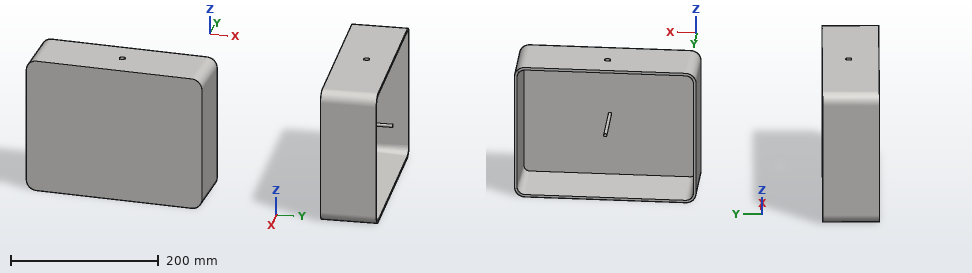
import cadquery as cq

width = 247.1
depth = 76.9
height = 191.8
corner_radius = 14.5

rim_wall = 3.7
front_wall = 5
draft_angle = 2.5

peg_diameter = 4.5

hole_diameter = 8.2
hole_offset_y = 2.7

front_y = -depth / 2
back_y = depth / 2
top_z = height / 2


def rounded_block(plane_y, block_width, block_height, radius, length, taper=0):
    """Rounded rectangle at plane_y, extruded toward -Y."""
    outline = cq.Sketch().rect(block_width, block_height).vertices().fillet(radius)
    return cq.Workplane("XZ", origin=(0, plane_y, 0)).placeSketch(outline).extrude(length, taper=taper)


housing = rounded_block(back_y, width, height, corner_radius, depth)

cavity_depth = depth - front_wall
cavity = rounded_block(
    back_y,
    width - 2 * rim_wall,
    height - 2 * rim_wall,
    corner_radius - rim_wall,
    cavity_depth,
    taper=draft_angle,
)

peg = cq.Workplane("ZX", origin=(0, front_y, 0)).circle(peg_diameter / 2).extrude(depth)

hole_depth = top_z / 2
hole = (
    cq.Workplane("YX", origin=(0, hole_offset_y, top_z))
    .circle(hole_diameter / 2)
    .extrude(hole_depth)
)

result = housing.cut(cavity).union(peg).cut(hole)